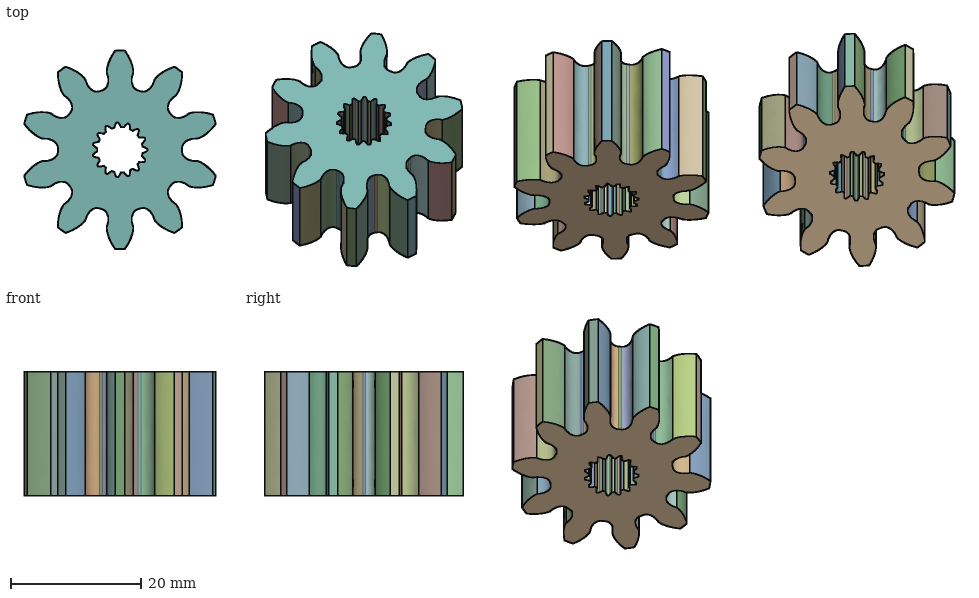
import cadquery as cq
import math

TOOTH_COUNT = 10
OUTER_RADIUS = 15.25
FACE_WIDTH = 19.05
PRESSURE_ANGLE = math.radians(20)
MODULE = 2 * OUTER_RADIUS / (TOOTH_COUNT + 2)
PITCH_RADIUS = MODULE * TOOTH_COUNT / 2
CUTTER_DEPTH = 1.25 * MODULE
CUTTER_TIP_RADIUS = 0.3 * MODULE
ROOT_RADIUS = PITCH_RADIUS - CUTTER_DEPTH

CORNER_DEPTH = CUTTER_DEPTH - CUTTER_TIP_RADIUS
CORNER_OFFSET = (
    math.pi * MODULE / 4
    - CORNER_DEPTH * math.tan(PRESSURE_ANGLE)
    - CUTTER_TIP_RADIUS / math.cos(PRESSURE_ANGLE)
)

GROOVE_COUNT = 15
SPLINE_PITCH_RADIUS = 3.75
SPLINE_PRESSURE_ANGLE = math.radians(30)
BORE_RADIUS = 3.47
GROOVE_FLANK_END_RADIUS = 4.02
GROOVE_TIP_RADIUS = 4.2

CURVE_POINTS = 9
UNDERCUT_END_ROLL_RANGE = (0.3, 0.6)
BISECTION_STEPS = 50


def polar(radius, angle):
    return (radius * math.cos(angle), radius * math.sin(angle))


def evenly_spaced(start, end):
    return [start + (end - start) * i / (CURVE_POINTS - 1) for i in range(CURVE_POINTS)]


def involute_half_angle(radius, pitch_radius, pressure_angle, count):
    """Half the angle between the two involute flanks of a tooth, at the given radius."""
    base_radius = pitch_radius * math.cos(pressure_angle)
    local_angle = math.acos(min(1.0, base_radius / radius))
    at_pitch = math.tan(pressure_angle) - pressure_angle
    at_radius = math.tan(local_angle) - local_angle
    return math.pi / (2 * count) + at_pitch - at_radius


def tooth_half_angle(radius):
    return involute_half_angle(radius, PITCH_RADIUS, PRESSURE_ANGLE, TOOTH_COUNT)


def groove_half_angle(radius):
    return involute_half_angle(radius, SPLINE_PITCH_RADIUS, SPLINE_PRESSURE_ANGLE, GROOVE_COUNT)


def root_curve(roll):
    """Radius and half tooth angle of the undercut left by the cutter corner at a roll angle."""
    across = CORNER_OFFSET + PITCH_RADIUS * roll
    reach = 1 + CUTTER_TIP_RADIUS / math.hypot(across, CORNER_DEPTH)
    along = PITCH_RADIUS - CORNER_DEPTH * reach
    angle_from_gap = math.atan2(across * reach, along) - roll
    radius = math.hypot(across * reach, along)
    return radius, math.pi / TOOTH_COUNT - angle_from_gap


def undercut_end_roll():
    """Roll angle at which the undercut meets the involute flank, found by bisection."""
    low, high = UNDERCUT_END_ROLL_RANGE
    for _ in range(BISECTION_STEPS):
        middle = (low + high) / 2
        radius, half_angle = root_curve(middle)
        if half_angle < tooth_half_angle(radius):
            low = middle
        else:
            high = middle
    return low


def points_beside(points, axis, side):
    """Turn (radius, half angle) pairs into points on one side of a tooth or groove axis."""
    return [polar(radius, axis + side * half_angle) for radius, half_angle in points]


def closed_profile(count, first_axis, flank_curves, tip_radius, valley_radius):
    """Ring of equal teeth; each flank runs outward through the given curves, with arcs between."""
    pitch_angle = 2 * math.pi / count
    inner_half_angle = flank_curves[0][0][1]
    start = polar(valley_radius, first_axis - inner_half_angle)
    profile = cq.Workplane("XY").moveTo(*start)
    for i in range(count):
        axis = first_axis + i * pitch_angle
        for curve in flank_curves:
            profile = profile.spline(points_beside(curve, axis, -1)[1:], includeCurrent=True)
        tip_end = points_beside(flank_curves[-1], axis, 1)[-1]
        profile = profile.threePointArc(polar(tip_radius, axis), tip_end)
        for curve in reversed(flank_curves):
            inward = points_beside(curve, axis, 1)[::-1]
            profile = profile.spline(inward[1:], includeCurrent=True)
        valley_middle = polar(valley_radius, axis + pitch_angle / 2)
        valley_end = polar(valley_radius, axis + pitch_angle - inner_half_angle)
        profile = profile.threePointArc(valley_middle, valley_end)
    return profile.close()


def gear_blank():
    first_roll = -CORNER_OFFSET / PITCH_RADIUS
    last_roll = undercut_end_roll()
    undercut = [root_curve(roll) for roll in evenly_spaced(first_roll, last_roll)]
    involute_start = undercut[-1][0]
    flank_radii = evenly_spaced(involute_start, OUTER_RADIUS)
    involute = [(radius, tooth_half_angle(radius)) for radius in flank_radii]
    profile = closed_profile(TOOTH_COUNT, math.pi / 2, [undercut, involute], OUTER_RADIUS, ROOT_RADIUS)
    return profile.extrude(FACE_WIDTH)


def splined_bore():
    flank_radii = evenly_spaced(BORE_RADIUS, GROOVE_FLANK_END_RADIUS)
    flank = [(radius, groove_half_angle(radius)) for radius in flank_radii]
    profile = closed_profile(GROOVE_COUNT, 0.0, [flank], GROOVE_TIP_RADIUS, BORE_RADIUS)
    return profile.extrude(FACE_WIDTH)


result = gear_blank().cut(splined_bore())